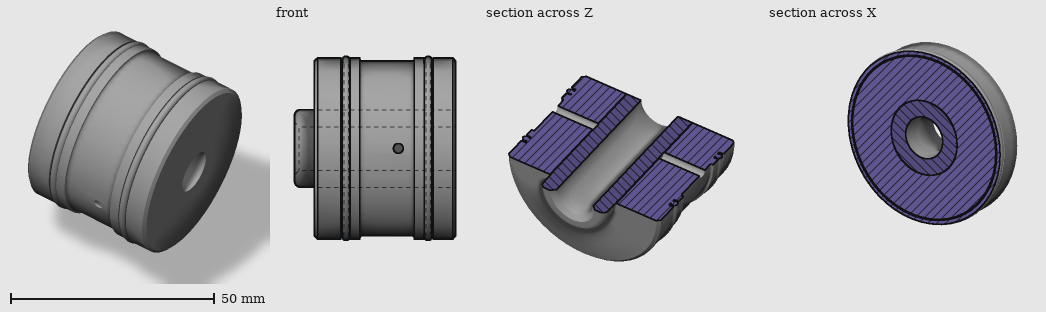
import cadquery as cq

LENGTH = 39.6
BODY_RADIUS = 22.25
BODY_START = 4.85
FACE_DROP = 0.85
FRONT_CHAMFER = 0.85
REAR_CHAMFER = 0.7

BUSHING_RADIUS = 9.55
BUSHING_FILLET = 1.6
BORE_RADIUS = 5.35
BORE_CHAMFER = 1.15

MIDDLE = 22.75
WAIST_RADIUS = 21.5
WAIST_HALF_LENGTH = 6.65
WAIST_FILLET = 0.35
GROOVE_INNER_OFFSET = 9.1
GROOVE_OUTER_OFFSET = 11.3
GROOVE_WIDTH = GROOVE_OUTER_OFFSET - GROOVE_INNER_OFFSET
GROOVE_RADIUS = 21.0

BEAD_OUTER_RADIUS = 22.65
BEAD_SECTION_RADIUS = 0.9
BEAD_PITCH_RADIUS = BEAD_OUTER_RADIUS - BEAD_SECTION_RADIUS
BEAD_WALL_GAP = 0.1
BEAD_OFFSET = GROOVE_INNER_OFFSET + BEAD_WALL_GAP + BEAD_SECTION_RADIUS

CROSS_HOLE_DIAMETER = 2.4
CROSS_HOLE_X = 25.53

CUTTER_MARGIN = 0.45


def disc(start, end, radius):
    """Solid cylinder about X between two axial positions."""
    return cq.Workplane("YZ", origin=(start, 0, 0)).circle(radius).extrude(end - start)


def band(start, end, radius):
    """Annular cutter that leaves a shaft of the given radius."""
    return disc(start, end, BODY_RADIUS + CUTTER_MARGIN).cut(disc(start, end, radius))


def make_drum():
    """Main cylinder with a chamfer at each end."""
    face_radius = BODY_RADIUS - FACE_DROP
    return (
        cq.Workplane("XY")
        .moveTo(BODY_START, 0)
        .lineTo(BODY_START, face_radius)
        .lineTo(BODY_START + FRONT_CHAMFER, BODY_RADIUS)
        .lineTo(LENGTH - REAR_CHAMFER, BODY_RADIUS)
        .lineTo(LENGTH, face_radius)
        .lineTo(LENGTH, 0)
        .close()
        .revolve(360, (0, 0, 0), (1, 0, 0))
    )


def make_waist_cutter():
    """Shallow central relief with rounded inside corners."""
    cutter = band(MIDDLE - WAIST_HALF_LENGTH, MIDDLE + WAIST_HALF_LENGTH, WAIST_RADIUS)
    inner_edges = cutter.edges(cq.selectors.RadiusNthSelector(0))
    return inner_edges.fillet(WAIST_FILLET)


def make_bead(center):
    """Round-section seal bead about the X axis."""
    return (
        cq.Workplane("XY")
        .center(center, BEAD_PITCH_RADIUS)
        .circle(BEAD_SECTION_RADIUS)
        .revolve(360, (0, -BEAD_PITCH_RADIUS, 0), (1, -BEAD_PITCH_RADIUS, 0))
    )


def make_housing():
    """Drum with a waist, two grooves with seal beads, a bushing seat and cross holes."""
    housing = make_drum().cut(make_waist_cutter())

    for start in (MIDDLE - GROOVE_OUTER_OFFSET, MIDDLE + GROOVE_INNER_OFFSET):
        housing = housing.cut(band(start, start + GROOVE_WIDTH, GROOVE_RADIUS))

    for side in (-1, 1):
        housing = housing.union(make_bead(MIDDLE + side * BEAD_OFFSET))

    cross_hole = (
        cq.Workplane("XZ", origin=(CROSS_HOLE_X, 0, 0))
        .circle(CROSS_HOLE_DIAMETER / 2)
        .extrude(BODY_RADIUS, both=True)
    )
    housing = housing.cut(cross_hole)

    return housing.cut(disc(BODY_START, LENGTH, BUSHING_RADIUS))


def make_bushing():
    """Bored sleeve with a rounded nose and a lead-in chamfer at the front."""
    sleeve = disc(0, LENGTH, BUSHING_RADIUS).faces("<X").edges().fillet(BUSHING_FILLET)
    sleeve = sleeve.cut(disc(0, LENGTH, BORE_RADIUS))
    lead_in = cq.Workplane(cq.Solid.makeCone(
        BORE_RADIUS + BORE_CHAMFER, BORE_RADIUS, BORE_CHAMFER,
        cq.Vector(0, 0, 0), cq.Vector(1, 0, 0)))
    return sleeve.cut(lead_in)


housing = make_housing()
bushing = make_bushing()

result = cq.Compound.makeCompound([*housing.vals(), *bushing.vals()])